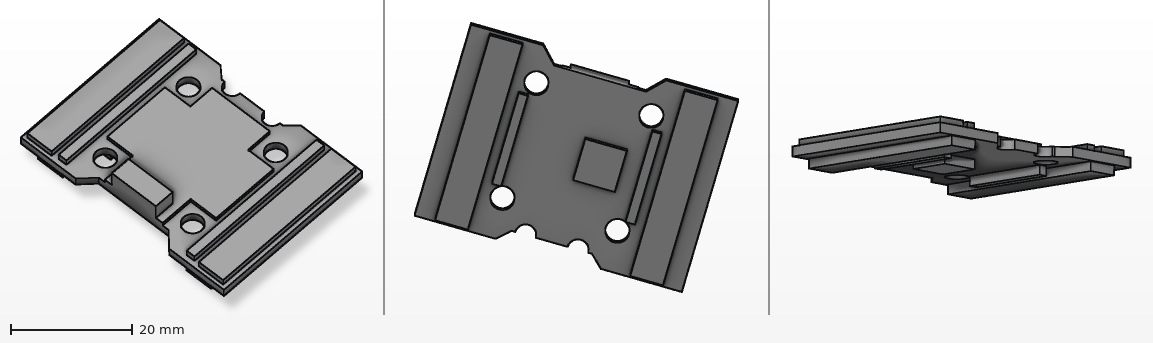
import cadquery as cq

board_length = 46.0
board_width = 33.45
board_thickness = 1.7
total_height = 7.25

rear_recess_depth = 2.02
rear_recess_outer_half = 9.05
rear_recess_inner_half = 6.9
front_recess_depth = 2.75
front_recess_outer_half = 10.6
front_recess_inner_half = 7.9
rear_edge_y = board_width / 2 - rear_recess_depth
front_edge_y = -board_width / 2 + front_recess_depth

notch_diameter = 3.5
notch_offset_x = 4.5

centre_y = -0.25
hole_diameter = 4.0
hole_spacing_x = 19.8
hole_spacing_y = 20.1

top_bar_height = 1.2
wide_bar_offset_x = 19.4
wide_bar_width = 5.47
wide_bar_length = 32.0
narrow_bar_offset_x = 14.5
narrow_bar_width = 1.75
narrow_bar_length = 31.35

cross_height = 0.7
cross_length = 24.6
cross_arm_width = 13.9
cross_stem_width = 13.05
cross_stem_rear_y = 11.95
block_width = 10.05
block_depth = 4.05
block_height = 3.9

pad_height = total_height - board_thickness - block_height
outer_pad_offset_x = 16.8
outer_pad_width = 5.65
outer_pad_length = 32.4
inner_pad_width = 1.6
inner_pad_length = 15.82
inner_pad_offset_x = (cross_length - inner_pad_width) / 2
middle_pad_x = 4.0
middle_pad_side = 7.18


def box(x, y, z, size_x, size_y, size_z):
    """Box centred on (x, y) that rises from height z."""
    return cq.Workplane("XY").box(size_x, size_y, size_z, centered=(True, True, False)).translate((x, y, z))


def make_board():
    half_length = board_length / 2
    half_width = board_width / 2
    right_half = [
        (0, front_edge_y),
        (front_recess_inner_half, front_edge_y),
        (front_recess_outer_half, -half_width),
        (half_length, -half_width),
        (half_length, half_width),
        (rear_recess_outer_half, half_width),
        (rear_recess_inner_half, rear_edge_y),
        (0, rear_edge_y),
    ]
    board = cq.Workplane("XY").polyline(right_half).mirrorY().extrude(board_thickness)
    notches = (
        cq.Workplane("XY")
        .pushPoints([(-notch_offset_x, rear_edge_y), (notch_offset_x, rear_edge_y)])
        .circle(notch_diameter / 2)
        .extrude(board_thickness)
    )
    holes = (
        cq.Workplane("XY")
        .center(0, centre_y)
        .rect(hole_spacing_x, hole_spacing_y, forConstruction=True)
        .vertices()
        .circle(hole_diameter / 2)
        .extrude(board_thickness)
    )
    return board.cut(notches).cut(holes)


def make_cross():
    stem_length = cross_stem_rear_y - front_edge_y
    stem_y = (cross_stem_rear_y + front_edge_y) / 2
    arms = box(0, centre_y, board_thickness, cross_length, cross_arm_width, cross_height)
    stem = box(0, stem_y, board_thickness, cross_stem_width, stem_length, cross_height)
    return arms.union(stem)


def make_block():
    block_y = front_edge_y + block_depth / 2
    return box(0, block_y, board_thickness, block_width, block_depth, block_height)


result = make_board().union(make_cross()).union(make_block())

for side in (-1, 1):
    wide_bar = box(
        side * wide_bar_offset_x, 0, board_thickness, wide_bar_width, wide_bar_length, top_bar_height
    )
    narrow_bar = box(
        side * narrow_bar_offset_x, 0, board_thickness, narrow_bar_width, narrow_bar_length, top_bar_height
    )
    outer_pad = box(side * outer_pad_offset_x, 0, -pad_height, outer_pad_width, outer_pad_length, pad_height)
    inner_pad = box(
        side * inner_pad_offset_x, centre_y, -pad_height, inner_pad_width, inner_pad_length, pad_height
    )
    result = result.union(wide_bar).union(narrow_bar).union(outer_pad).union(inner_pad)

middle_pad = box(middle_pad_x, centre_y, -pad_height, middle_pad_side, middle_pad_side, pad_height)
result = result.union(middle_pad)